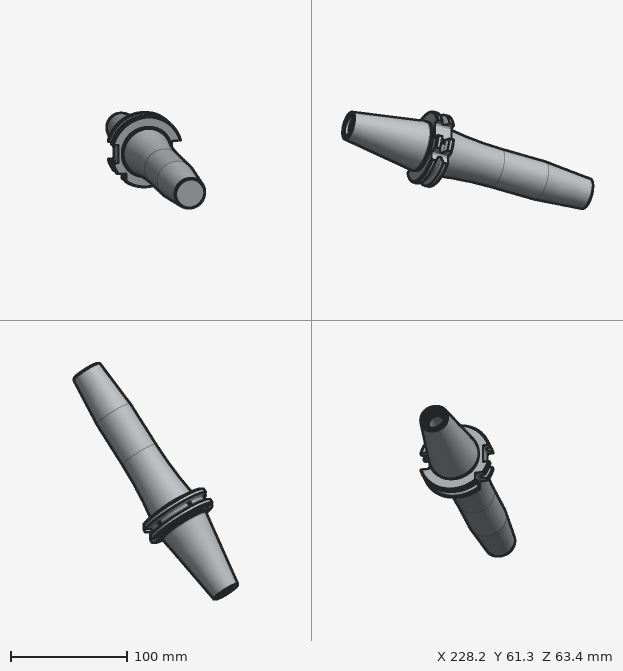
import cadquery as cq
import math

total_length = 228.2
edge_chamfer = 1.0

taper_slope = 7 / 48
taper_end_radius = 12.3
taper_length = 67.3
taper_chamfer = 0.7
gauge_radius = taper_end_radius + taper_slope * taper_length
gauge_band_end = 68.7
relief_start = 69.8
relief_radius = 21.7

flange_start = 71.0
flange_width = 16.0
flange_radius = 31.7
groove_mouth_width = 7.0
groove_depth = 3.9
groove_fillet = 0.7
groove_half_angle = 30.0
flange_end = flange_start + flange_width
groove_center = flange_start + flange_width / 2
groove_floor_radius = flange_radius - groove_depth
groove_floor_width = groove_mouth_width - 2 * groove_depth * math.tan(math.radians(groove_half_angle))

collar_radius = 22.4
neck_start = 88.8
neck_radius = 21.2
body_start = 141.5
body_radius = 17.1
nose_start = 183.5
nose_angle = 4.5
nose_radius = body_radius - (total_length - nose_start) * math.tan(math.radians(nose_angle))

slot_width = 16.2
slot_floor_front = 25.3
slot_floor_back = 22.4
slot_fillet = 1.1
notch_side = 18.3
notch_top = 18.0

mouth_radius = 9.8
counterbore_radius = 8.7
mouth_chamfer = mouth_radius - counterbore_radius
counterbore_depth = 4.5
pilot_radius = 8.2
pilot_start = counterbore_depth + counterbore_radius - pilot_radius
pilot_end = 8.0
bore_radius = 7.0
bore_step_end = pilot_end + pilot_radius - bore_radius
bore_depth = 32.0
drill_half_angle = 59.0
drill_tip = bore_depth + bore_radius / math.tan(math.radians(drill_half_angle))


def neck_arc_midpoint():
    """Point halfway along the arc that meets the body tangentially."""
    length = neck_start - body_start
    rise = neck_radius - body_radius
    arc_radius = (length**2 + rise**2) / (2 * rise)
    half_sweep = math.asin(-length / arc_radius) / 2
    x = body_start - arc_radius * math.sin(half_sweep)
    r = body_radius + arc_radius * (1 - math.cos(half_sweep))
    return (x, r)


def turn(profile):
    """Revolve a closed profile about the X axis."""
    return profile.close().revolve(360, (0, 0, 0), (1, 0, 0))


def make_body():
    profile = (
        cq.Workplane("XY")
        .moveTo(0, 0)
        .lineTo(0, taper_end_radius - taper_chamfer)
        .lineTo(taper_chamfer, taper_end_radius + taper_slope * taper_chamfer)
        .lineTo(taper_length, gauge_radius)
        .lineTo(gauge_band_end, gauge_radius)
        .lineTo(relief_start, relief_radius)
        .lineTo(flange_start, relief_radius)
        .lineTo(flange_start, flange_radius - edge_chamfer)
        .lineTo(flange_start + edge_chamfer, flange_radius)
        .lineTo(groove_center - groove_mouth_width / 2, flange_radius)
        .lineTo(groove_center - groove_floor_width / 2, groove_floor_radius)
        .lineTo(groove_center + groove_floor_width / 2, groove_floor_radius)
        .lineTo(groove_center + groove_mouth_width / 2, flange_radius)
        .lineTo(flange_end - edge_chamfer, flange_radius)
        .lineTo(flange_end, flange_radius - edge_chamfer)
        .lineTo(flange_end, collar_radius)
        .lineTo(neck_start, neck_radius)
        .threePointArc(neck_arc_midpoint(), (body_start, body_radius))
        .lineTo(nose_start, body_radius)
        .lineTo(total_length - edge_chamfer, nose_radius)
        .lineTo(total_length, nose_radius - edge_chamfer)
        .lineTo(total_length, 0)
    )
    body = turn(profile)
    floor_region = cq.selectors.BoxSelector(
        (groove_center - groove_floor_width, -flange_radius, -flange_radius),
        (groove_center + groove_floor_width, flange_radius, flange_radius),
        boundingbox=True,
    )
    return body.edges(floor_region).edges("%CIRCLE").fillet(groove_fillet)


def make_bore():
    profile = (
        cq.Workplane("XY")
        .moveTo(0, 0)
        .lineTo(0, mouth_radius)
        .lineTo(mouth_chamfer, counterbore_radius)
        .lineTo(counterbore_depth, counterbore_radius)
        .lineTo(pilot_start, pilot_radius)
        .lineTo(pilot_end, pilot_radius)
        .lineTo(bore_step_end, bore_radius)
        .lineTo(bore_depth, bore_radius)
        .lineTo(drill_tip, 0)
    )
    return turn(profile)


def flange_cutter(y_inner, y_outer, z_low, z_high):
    """Block across the flange width."""
    return cq.Workplane("XY").box(
        flange_width, y_outer - y_inner, z_high - z_low, centered=False
    ).translate((flange_start, y_inner, z_low))


def make_slots():
    half_width = slot_width / 2
    front = flange_cutter(-flange_radius, -slot_floor_front, -half_width, half_width)
    back = flange_cutter(slot_floor_back, flange_radius, -half_width, half_width)
    front = front.edges("|X and >Y").fillet(slot_fillet)
    back = back.edges("|X and <Y").fillet(slot_fillet)
    return front.union(back)


def make_notch():
    notch = flange_cutter(-flange_radius, -notch_side, -flange_radius, -notch_top)
    return notch.edges("|X and >Y and >Z").fillet(slot_fillet)


result = make_body().cut(make_bore()).cut(make_slots()).cut(make_notch())